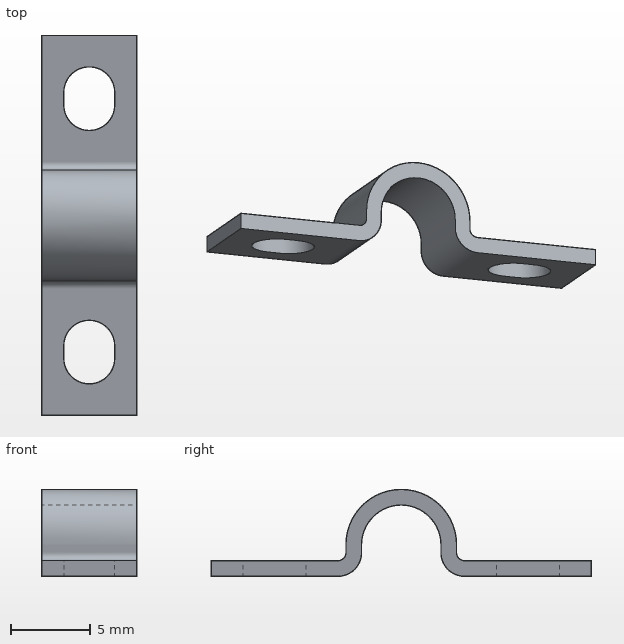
import cadquery as cq

strap_width = 6.0
strap_length = 24.0
thickness = 1.0
saddle_inner_radius = 2.5
bend_inner_radius = 0.5
saddle_axis_height = 2.0
slot_width = 3.2
slot_length = 4.0
slot_spacing = 16.0
slot_angle = 90.0

half_length = strap_length / 2
saddle_outer_radius = saddle_inner_radius + thickness
saddle_top = saddle_axis_height + saddle_outer_radius
bend_outer_radius = bend_inner_radius + thickness
bend_axis_height = bend_outer_radius
bend_axis_y = saddle_outer_radius + bend_inner_radius


def make_strap():
    """Sheet strip with a raised half-round saddle, bent to flat feet at both ends."""
    profile = (
        cq.Workplane("YZ")
        .moveTo(-half_length, 0)
        .lineTo(-bend_axis_y, 0)
        .radiusArc((-saddle_inner_radius, bend_axis_height), -bend_outer_radius)
        .lineTo(-saddle_inner_radius, saddle_axis_height)
        .threePointArc(
            (0, saddle_axis_height + saddle_inner_radius),
            (saddle_inner_radius, saddle_axis_height),
        )
        .lineTo(saddle_inner_radius, bend_axis_height)
        .radiusArc((bend_axis_y, 0), -bend_outer_radius)
        .lineTo(half_length, 0)
        .lineTo(half_length, thickness)
        .lineTo(bend_axis_y, thickness)
        .radiusArc((saddle_outer_radius, bend_axis_height), bend_inner_radius)
        .lineTo(saddle_outer_radius, saddle_axis_height)
        .threePointArc((0, saddle_top), (-saddle_outer_radius, saddle_axis_height))
        .lineTo(-saddle_outer_radius, bend_axis_height)
        .radiusArc((-bend_axis_y, thickness), bend_inner_radius)
        .lineTo(-half_length, thickness)
        .close()
    )
    return profile.extrude(strap_width / 2, both=True)


def make_slots():
    """Cutters for the round-ended mounting slot in each foot."""
    slot_centres = [(0, -slot_spacing / 2), (0, slot_spacing / 2)]
    return (
        cq.Workplane("XY")
        .pushPoints(slot_centres)
        .slot2D(slot_length, slot_width, slot_angle)
        .extrude(thickness)
    )


result = make_strap().cut(make_slots())